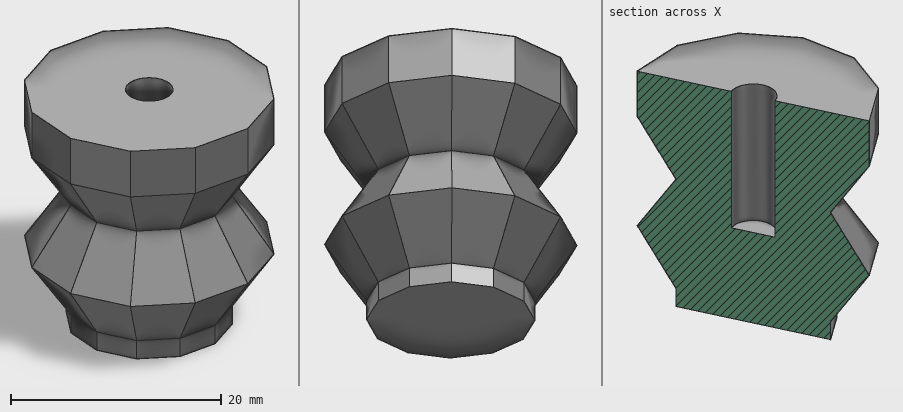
import cadquery as cq

side_count = 12
wide_diameter = 24.0
narrow_diameter = 16.0
foot_height = 2.0
band_height = 6.0
head_height = 5.0

bore_diameter = 4.5
bore_depth = 15.0

lower_flare_level = foot_height
bulge_level = lower_flare_level + band_height
neck_level = bulge_level + band_height
head_level = neck_level + band_height
total_height = head_level + head_height


def prism(bottom, diameter, height):
    """Straight twelve-sided section with corners on the X and Y axes."""
    return cq.Workplane("XY").workplane(offset=bottom).polygon(side_count, diameter).extrude(height)


def tapered_band(bottom, bottom_diameter, top_diameter):
    """Twelve-sided band with flat sides, changing size over one band height."""
    return (
        cq.Workplane("XY")
        .workplane(offset=bottom)
        .polygon(side_count, bottom_diameter)
        .workplane(offset=band_height)
        .polygon(side_count, top_diameter)
        .loft(ruled=True)
    )


foot = prism(0, narrow_diameter, foot_height)
lower_flare = tapered_band(lower_flare_level, narrow_diameter, wide_diameter)
neck_taper = tapered_band(bulge_level, wide_diameter, narrow_diameter)
upper_flare = tapered_band(neck_level, narrow_diameter, wide_diameter)
head = prism(head_level, wide_diameter, head_height)

body = foot.union(lower_flare).union(neck_taper).union(upper_flare).union(head)

bore = (
    cq.Workplane("XY")
    .workplane(offset=total_height)
    .circle(bore_diameter / 2)
    .extrude(-bore_depth)
)

result = body.cut(bore)